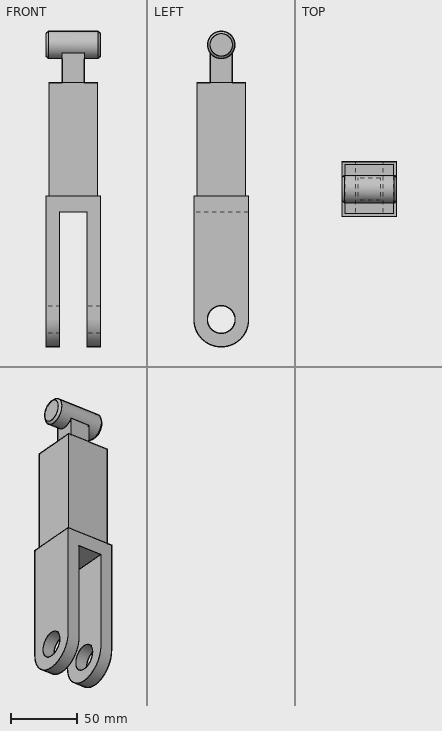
import cadquery as cq

total_height = 239.2
fork_width = 41.6

fork_height = 114.3
slot_width = fork_width / 2
slot_height = 102.1
end_radius = fork_width / 2
hole_diameter = fork_width / 2

shank_width = 36.8
shank_top = 200.2

neck_width = 16.7
pin_diameter = fork_width / 2
pin_length = fork_width
pin_chamfer = 2.0
pin_center_z = total_height - pin_diameter / 2


def square_block(width, bottom, top):
    """Square prism centred on the Z axis between two heights."""
    block = cq.Workplane("XY").box(width, width, top - bottom, centered=(True, True, False))
    return block.translate((0, 0, bottom))


def cylinder_along_x(diameter, length, center_z):
    """Cylinder centred on the YZ plane with its axis parallel to X."""
    return cq.Workplane("YZ").center(0, center_z).circle(diameter / 2).extrude(length / 2, both=True)


def make_fork():
    body = square_block(fork_width, end_radius, fork_height)
    body = body.union(cylinder_along_x(2 * end_radius, fork_width, end_radius))
    slot = cq.Workplane("XY").box(slot_width, fork_width, slot_height, centered=(True, True, False))
    hole = cylinder_along_x(hole_diameter, fork_width, end_radius)
    return body.cut(slot).cut(hole)


def make_crosshead():
    neck = square_block(neck_width, shank_top, pin_center_z)
    pin = cylinder_along_x(pin_diameter, pin_length, pin_center_z)
    pin = pin.faces("<X or >X").chamfer(pin_chamfer)
    return neck.union(pin)


shank = square_block(shank_width, fork_height, shank_top)
result = make_fork().union(shank).union(make_crosshead())